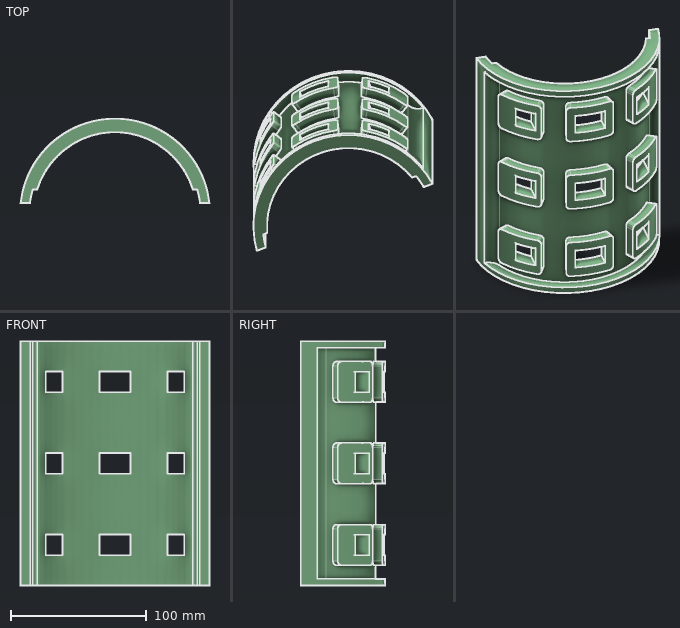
import cadquery as cq
import math

length = 180.0
outer_radius = 70.0
bore_radius = 60.0
relief_radius = 63.0
end_y = 7.7
relief_top_y = 17.6

flange_thickness = 5.0
recess_radius = 63.0
recess_end_y = 20.0
recess_fillet = 10.5

row_count = 3
row_pitch = length / row_count
pad_angles = (-45.0, 0.0, 45.0)
pad_span_angle = 30.0
pad_height = row_pitch / 2
pad_corner_radius = 3.2

window_height = row_pitch / 4
middle_window_half_width = 11.3
side_window_inner_x = 38.7
side_window_outer_x = 51.0

clearance = 9.0

row_heights = [row_pitch * (row + 0.5) for row in range(row_count)]


def x_on_circle(radius, y):
    return math.sqrt(radius**2 - y**2)


def make_shell():
    outer_x = x_on_circle(outer_radius, end_y)
    relief_end_x = x_on_circle(relief_radius, end_y)
    relief_top_x = x_on_circle(relief_radius, relief_top_y)
    bore_x = x_on_circle(bore_radius, relief_top_y)
    relief_mid_y = (end_y + relief_top_y) / 2
    relief_mid_x = x_on_circle(relief_radius, relief_mid_y)
    return (
        cq.Workplane("XY")
        .moveTo(outer_x, end_y)
        .threePointArc((0, outer_radius), (-outer_x, end_y))
        .lineTo(-relief_end_x, end_y)
        .threePointArc((-relief_mid_x, relief_mid_y), (-relief_top_x, relief_top_y))
        .lineTo(-bore_x, relief_top_y)
        .threePointArc((0, bore_radius), (bore_x, relief_top_y))
        .lineTo(relief_top_x, relief_top_y)
        .threePointArc((relief_mid_x, relief_mid_y), (relief_end_x, end_y))
        .close()
        .extrude(length)
    )


def make_recess():
    reach = outer_radius + clearance
    center_y = recess_end_y + recess_fillet
    center_radius = recess_radius + recess_fillet
    center_x = x_on_circle(center_radius, center_y)
    floor_x = center_x * recess_radius / center_radius
    floor_y = center_y * recess_radius / center_radius
    floor_angle = math.atan2(-center_y, -center_x)
    middle_angle = (floor_angle - math.pi / 2) / 2
    middle_x = center_x + recess_fillet * math.cos(middle_angle)
    middle_y = center_y + recess_fillet * math.sin(middle_angle)
    return (
        cq.Workplane("XY", origin=(0, 0, flange_thickness))
        .moveTo(reach, recess_end_y)
        .lineTo(center_x, recess_end_y)
        .threePointArc((middle_x, middle_y), (floor_x, floor_y))
        .threePointArc((0, recess_radius), (-floor_x, floor_y))
        .threePointArc((-middle_x, middle_y), (-center_x, recess_end_y))
        .lineTo(-reach, recess_end_y)
        .lineTo(-reach, reach)
        .lineTo(reach, reach)
        .close()
        .extrude(length - 2 * flange_thickness)
    )


def make_pad(angle, height):
    half_angle = math.radians(pad_span_angle / 2)
    base_radius = (bore_radius + recess_radius) / 2
    side_x = math.sin(half_angle)
    side_y = math.cos(half_angle)
    return (
        cq.Workplane("XY", origin=(0, 0, height - pad_height / 2))
        .moveTo(base_radius * side_x, base_radius * side_y)
        .lineTo(outer_radius * side_x, outer_radius * side_y)
        .threePointArc((0, outer_radius), (-outer_radius * side_x, outer_radius * side_y))
        .lineTo(-base_radius * side_x, base_radius * side_y)
        .threePointArc((0, base_radius), (base_radius * side_x, base_radius * side_y))
        .close()
        .extrude(pad_height)
        .edges("%LINE and (not |Z)")
        .fillet(pad_corner_radius)
        .rotate((0, 0, 0), (0, 0, 1), angle)
    )


def make_window(left_x, right_x, height):
    depth = outer_radius + clearance
    return (
        cq.Workplane("XY")
        .box(right_x - left_x, depth, window_height, centered=(False, False, True))
        .translate((left_x, 0, height))
    )


result = make_shell().cut(make_recess())

for row_height in row_heights:
    for pad_angle in pad_angles:
        result = result.union(make_pad(pad_angle, row_height))

window_spans = (
    (-side_window_outer_x, -side_window_inner_x),
    (-middle_window_half_width, middle_window_half_width),
    (side_window_inner_x, side_window_outer_x),
)
for row_height in row_heights:
    for left_x, right_x in window_spans:
        result = result.cut(make_window(left_x, right_x, row_height))